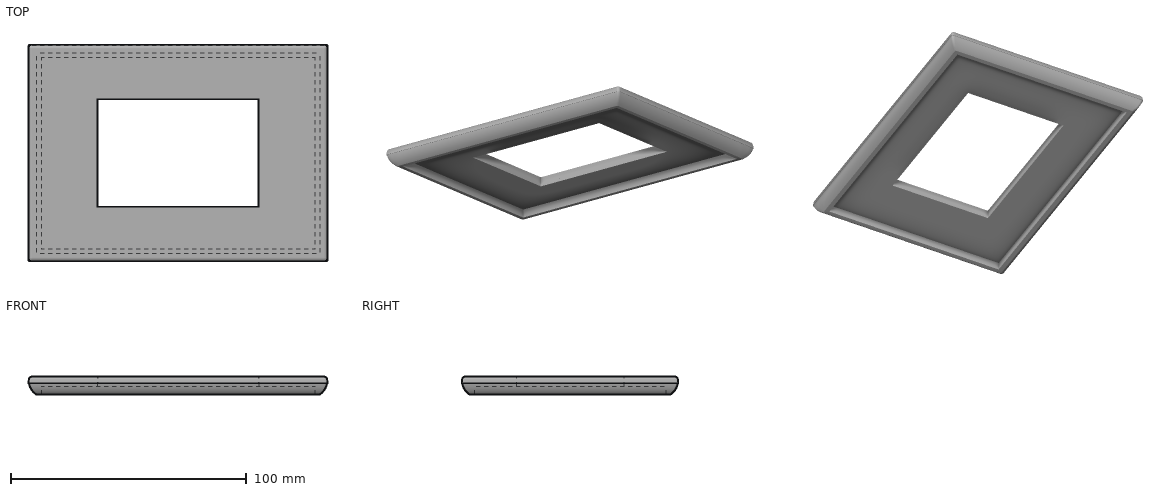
import cadquery as cq
import math

length = 127.0
width = 92.0
total_height = 7.7
corner_radius = 1.0

plate_height = 2.8
side_draft = 7.0
top_edge_radius = 1.5

window_length = 68.4
window_width = 45.6
upper_window_draft = 4.0
lower_window_draft = 2.5
waist_z = -1.1

base_height = total_height - plate_height
base_top_inset = 0.2
base_bottom_inset = 3.4
side_bulge = 0.6
web_thickness = 1.3
rim_width = 2.0


def make_window():
    """Cutter that narrows from the top face to the waist and widens again below it."""
    upper_narrowing = -waist_z * math.tan(math.radians(upper_window_draft))
    waist_length = window_length - 2 * upper_narrowing
    waist_width = window_width - 2 * upper_narrowing

    def flare(height, draft):
        waist = cq.Workplane("XY").workplane(offset=waist_z).rect(waist_length, waist_width)
        return waist.extrude(height, taper=-draft)

    upper = flare(-waist_z, upper_window_draft)
    lower = flare(-(total_height + waist_z), lower_window_draft)
    return upper.union(lower)


def make_plate():
    """Drafted plate with rounded corners and a rounded top edge."""
    slab = (
        cq.Workplane("XY")
        .workplane(offset=-plate_height)
        .rect(length, width)
        .extrude(plate_height, taper=side_draft)
    )
    slab = slab.edges("not #Z").edges("not |X").edges("not |Y").fillet(corner_radius)
    slab = slab.faces(">Z").edges().fillet(top_edge_radius)
    return slab.cut(make_window())


def side_profile(plane, across, along):
    """Prism of the base's cross-section: `across` wide, with bulging sides that narrow downward."""
    top = across / 2 - base_top_inset
    bottom = across / 2 - base_bottom_inset
    z_top = -plate_height
    z_bottom = -total_height
    chord = math.hypot(top - bottom, base_height)
    middle = (top + bottom) / 2 + side_bulge * base_height / chord
    z_middle = (z_top + z_bottom) / 2 - side_bulge * (top - bottom) / chord
    return (
        cq.Workplane(plane)
        .moveTo(-top, z_top)
        .lineTo(top, z_top)
        .threePointArc((middle, z_middle), (bottom, z_bottom))
        .lineTo(-bottom, z_bottom)
        .threePointArc((-middle, z_middle), (-top, z_top))
        .close()
        .extrude(along / 2, both=True)
    )


def make_base():
    """Frame under the plate: bulging sides, a web around the window and a hollow underside."""
    body = side_profile("XZ", length, width).intersect(side_profile("YZ", width, length))
    mitres = body.edges("not #Z").edges("not |X").edges("not |Y")
    body = mitres.fillet(corner_radius)
    hollow_inset = base_bottom_inset + rim_width
    hollow = (
        cq.Workplane("XY")
        .workplane(offset=-total_height)
        .rect(length - 2 * hollow_inset, width - 2 * hollow_inset)
        .extrude(base_height - web_thickness)
    )
    return body.cut(hollow).cut(make_window())


plate = make_plate()
base = make_base()

result = cq.Compound.makeCompound([plate.val(), base.val()])